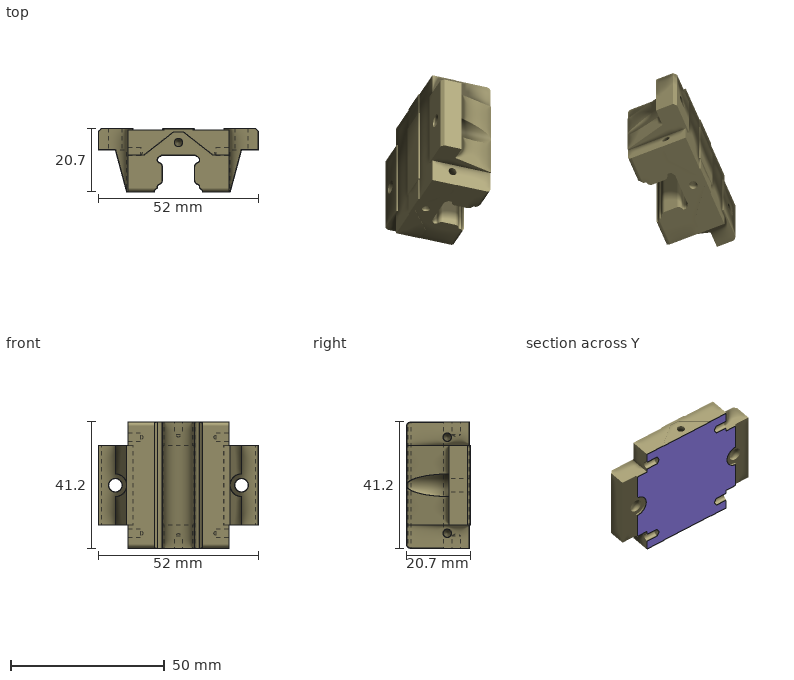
import cadquery as cq
import math


width = 52.0
height = 20.7
length = 41.2

block_length = 25.9
flange_underside = 13.75
flange_chamfer = 1.0
flange_root_half = 20.5
block_foot_half = 16.8

pad_height = 0.45
pad_edge_run = 0.1
side_pad_inner = 14.8
center_pad_half = 5.1

cap_width = 32.85
cap_fillet = 1.3
cap_pad_half = 4.65
cap_pad_height = 0.25

plate_thickness = 0.1
plate_base = 12.0
plate_slope_half = 11.25
plate_peak = 19.5
plate_peak_half = 1.65

channel_ceiling = 11.95
ceiling_half = 5.4
throat_half = 5.2
recess_half = 6.8
track_half = 6.35
track_low = 2.45
track_high = 9.6
throat_arc_rise = 1.45
recess_arc_rise = throat_arc_rise * (recess_half - track_half) / (track_half - throat_half)
ceiling_corner_start = 10.55
ceiling_corner_half = 6.4
ceiling_corner_end = 11.35
foot_half = 7.8
foot_lead_start = 0.45
foot_lead_half = 7.5
foot_lead_end = 0.85
recess_bottom = 1.4

mount_hole = 4.3
mount_relief = 2 * (flange_root_half - block_foot_half)
port_diameter = 2.7
port_depth = 4.15
drill_point_angle = 118.0
side_port_height = 13.2
side_port_z = 15.6
end_port_height = 16.1

pad_base = height - pad_height
cap_half = length / 2 - plate_thickness


def centered_prism(outline, depth):
    """Extrude a closed XY outline by depth, centred on Z = 0."""
    return outline.extrude(depth / 2, both=True)


def make_pad(half_width, pad_rise, depth):
    """Low central pad with sloping sides on the mounting face, centred on X = 0."""
    foot = half_width + pad_edge_run
    pad_top = pad_base + pad_rise
    outline = cq.Workplane("XY").polyline(
        [(-foot, pad_base), (-half_width, pad_top), (half_width, pad_top), (foot, pad_base)]
    ).close()
    return centered_prism(outline, depth)


def make_block():
    half = width / 2
    right_side = [
        (block_foot_half, 0),
        (flange_root_half, flange_underside),
        (half, flange_underside),
        (half, height - flange_chamfer),
        (half - flange_chamfer, height),
        (side_pad_inner, height),
        (side_pad_inner - pad_edge_run, pad_base),
    ]
    left_side = [(-x, y) for x, y in reversed(right_side)]
    block = centered_prism(cq.Workplane("XY").polyline(right_side + left_side).close(), block_length)
    return block.union(make_pad(center_pad_half, pad_height, block_length))


def make_caps():
    """Both end caps as one bar running through the block, with rounded lower ends."""
    bar = cq.Workplane("XY").box(cap_width, pad_base, 2 * cap_half, centered=(True, False, True))
    bar = bar.faces("<Y").edges("|X").fillet(cap_fillet)
    plate_right = [
        (plate_peak_half, plate_peak),
        (plate_slope_half, plate_base),
        (cap_width / 2, plate_base),
        (cap_width / 2, pad_base),
    ]
    plate_left = [(-x, y) for x, y in reversed(plate_right)]
    plates = centered_prism(cq.Workplane("XY").polyline(plate_right + plate_left).close(), length)
    return bar.union(plates).union(make_pad(cap_pad_half, cap_pad_height, length))


def make_channel_half():
    """Right half of the rail channel, from the centre plane out to its recesses."""
    outline = (
        cq.Workplane("XY")
        .lineTo(foot_half, 0)
        .lineTo(foot_half, foot_lead_start)
        .lineTo(foot_lead_half, foot_lead_end)
        .lineTo(recess_half, recess_bottom)
        .lineTo(recess_half, track_low - recess_arc_rise)
        .tangentArcPoint((track_half, track_low), relative=False)
        .tangentArcPoint((throat_half, track_low + throat_arc_rise), relative=False)
        .lineTo(throat_half, track_high - throat_arc_rise)
        .tangentArcPoint((track_half, track_high), relative=False)
        .tangentArcPoint((recess_half, track_high + recess_arc_rise), relative=False)
        .lineTo(recess_half, ceiling_corner_start)
        .tangentArcPoint((ceiling_corner_half, ceiling_corner_end), relative=False)
        .lineTo(ceiling_half, channel_ceiling)
        .lineTo(0, channel_ceiling)
        .close()
    )
    return centered_prism(outline, length)


def make_port(start, direction):
    """Blind drilled hole with a conical bottom."""
    radius = port_diameter / 2
    point_depth = radius / math.tan(math.radians(drill_point_angle / 2))
    shaft = cq.Solid.makeCylinder(radius, port_depth, start, direction)
    point = cq.Solid.makeCone(radius, 0, point_depth, start + direction * port_depth, direction)
    return cq.Workplane(shaft.fuse(point))


result = make_block().union(make_caps())

channel_half = make_channel_half()
result = result.cut(channel_half).cut(channel_half.mirror("YZ"))

for side in (-1, 1):
    hole_base = cq.Vector(side * flange_root_half, 0, 0)
    upward = cq.Vector(0, 1, 0)
    result = result.cut(cq.Workplane(cq.Solid.makeCylinder(mount_hole / 2, height, hole_base, upward)))
    result = result.cut(
        cq.Workplane(cq.Solid.makeCylinder(mount_relief / 2, flange_underside, hole_base, upward))
    )

for end in (-1, 1):
    end_port = cq.Vector(0, end_port_height, end * length / 2)
    result = result.cut(make_port(end_port, cq.Vector(0, 0, -end)))
    for side in (-1, 1):
        side_port = cq.Vector(side * cap_width / 2, side_port_height, end * side_port_z)
        result = result.cut(make_port(side_port, cq.Vector(-side, 0, 0)))